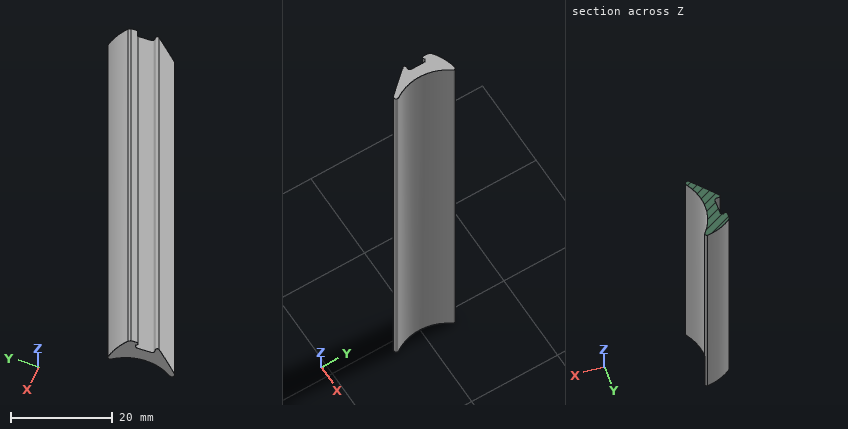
import cadquery as cq

length = 100.0
width = 5.9
height = 14.0

back_top = 11.2
lip_start = 10.1
lip_end = (0.4, 9.6)
slot_depth = 1.3
slot_top = 9.9
slot_bottom = 5.9
slot_corner_radius = 0.5
nose_start = (0.4, 5.9)
nose_middle = (0.1, 5.8)
nose_end = (0, 5.3)

upper_shoulder = (0.3, 11.7)
upper_flank_middle = (2.8, 13.2)
upper_tip_start = (5.5, height)
upper_tip_middle = (width, 13.7)
upper_tip_end = (width - 0.1, 13.2)
hollow_middle = (3.7, 6.5)
lower_tip_start = (5.5, 0.9)
lower_tip_bottom = (5.0, 0.0)
lower_tip_end = (4.6, 0.2)
lower_flank_middle = (2.3, 2.7)

slot_corner_x = slot_depth - slot_corner_radius


def crescent_profile():
    """Closed cross-section in XY, followed clockwise from the back face."""
    return (
        cq.Workplane("XY")
        .moveTo(0, lip_start)
        .lineTo(0, back_top)
        .lineTo(*upper_shoulder)
        .threePointArc(upper_flank_middle, upper_tip_start)
        .threePointArc(upper_tip_middle, upper_tip_end)
        .threePointArc(hollow_middle, lower_tip_start)
        .threePointArc(lower_tip_bottom, lower_tip_end)
        .threePointArc(lower_flank_middle, nose_end)
        .threePointArc(nose_middle, nose_start)
        .lineTo(slot_corner_x, slot_bottom)
        .radiusArc((slot_depth, slot_bottom + slot_corner_radius), -slot_corner_radius)
        .lineTo(slot_depth, slot_top - slot_corner_radius)
        .radiusArc((slot_corner_x, slot_top), -slot_corner_radius)
        .lineTo(*lip_end)
        .radiusArc((0, lip_start), lip_start - lip_end[1])
        .close()
    )


result = crescent_profile().extrude(length)